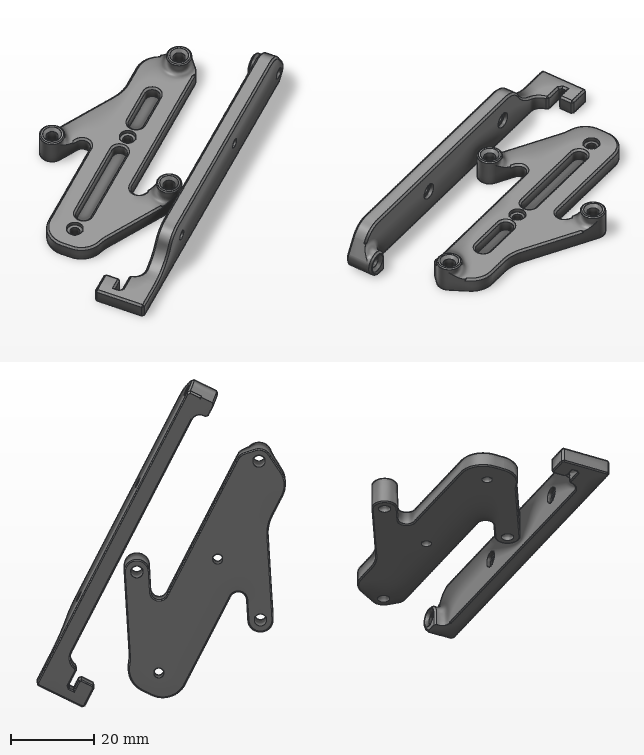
import cadquery as cq
import math


TOTAL_WIDTH = 43.95
TOTAL_LENGTH = 83.5
THICKNESS = 4.0
TOP_CHAMFER = 0.5
BASE_CHAMFER = 0.3
HOLE_PITCH = 31.5
SCREW_DIAMETER = 2.4
RECESS_DIAMETER = 4.0
RECESS_DEPTH = 1.0
LUG_RADIUS = 6.1 / 2
BOSS_RADIUS = LUG_RADIUS - 0.01
BOSS_HEIGHT = 3.0
BOSS_FLARE = 2.0
BOSS_BORE = 2.9
BOSS_SINK_DIAMETER = 4.5
CORNER_RADIUS = 6.0
BLEND_RADIUS = 10.0
COINCIDENT = 8.35e-07

PLATE_HALF_WIDTH = 6.9
PLATE_END = 5.8
LUG_X = 31.8 / 2
LEFT_LUG = (-LUG_X, 22.6)
RIGHT_LUG = (LUG_X, 20.0)
TOP_BOSS = (2.0, 57.6)
LUG_TILT = 60
SHOULDER_TILT = 45
SHOULDER_RADIUS = 3.0
NOTCH_RADIUS = 2.0
FLANK_TILT = -16.6
LOWER_CORNER = (6.1, -PLATE_END)
PLATE_RIM_CHAMFER = 0.3

SLOT_WIDTH = 3.85
SLOT_DEPTH = 3.0
SLOT_CHAMFER = 0.5
SLOT_SPANS = [(3.3, 28.4), (34.6, 47.95)]

BRACKET_BACK = TOTAL_WIDTH - LUG_X - LUG_RADIUS
WALL_FACE = BRACKET_BACK - THICKNESS
FOOT_X = WALL_FACE - BOSS_HEIGHT
BRACKET_HEIGHT = 12.0
BRACKET_END = 15.8
BRACKET_BOSS = (TOTAL_LENGTH - BRACKET_END - LUG_RADIUS, 3.5)
BRACKET_HOLE_START = 6.9
BRACKET_HOLE_Z = 6.0
LEAD_TILT = 30
UNDERCUT_TILT = -45
SLOPE_TILT = 150
SLOPE_CORNER = (1.75, BRACKET_HEIGHT)
FOOT_Y = -7.85
FOOT_FILLET = BOSS_HEIGHT
HOOK_X = 12.2
HOOK_Y = -9.85
HOOK_SLOT_X = 16.3
HOOK_SLOT_Y = -13.0


def edge_line(normal_angle, point, offset=0.0):
    """Straight edge that faces normal_angle and passes the point at the given offset."""
    nx = math.cos(math.radians(normal_angle))
    ny = math.sin(math.radians(normal_angle))
    return nx, ny, nx * point[0] + ny * point[1] + offset


def crossing(first, second):
    """Point where two edge lines cross."""
    det = first[0] * second[1] - first[1] * second[0]
    x = (first[2] * second[1] - first[1] * second[2]) / det
    y = (first[0] * second[2] - first[2] * second[0]) / det
    return x, y


def step(point, target, length):
    """Point at the given length from point, on the way to target."""
    share = length / math.dist(point, target)
    return point[0] + share * (target[0] - point[0]), point[1] + share * (target[1] - point[1])


def rounded_outline(plane, edges):
    """Closed wire from (edge line, radius of the corner to the next edge) pairs."""
    count = len(edges)
    corners = [crossing(edges[i][0], edges[(i + 1) % count][0]) for i in range(count)]
    spans = []
    for i in range(count):
        line, radius = edges[i]
        following = edges[(i + 1) % count][0]
        corner = corners[i]
        before = corners[i - 1]
        after = corners[(i + 1) % count]
        half_turn = math.acos(line[0] * following[0] + line[1] * following[1]) / 2
        setback = radius * math.tan(half_turn)
        start = step(corner, before, setback)
        end = step(corner, after, setback)
        chord_middle = ((start[0] + end[0]) / 2, (start[1] + end[1]) / 2)
        sagitta = radius * (1 - math.cos(half_turn))
        spans.append((start, step(chord_middle, corner, sagitta) if radius else None, end))

    wire = cq.Workplane(plane).moveTo(*spans[-1][2])
    position = spans[-1][2]
    for start, middle, end in spans:
        if math.dist(position, start) > COINCIDENT:
            wire = wire.lineTo(*start)
        if middle:
            wire = wire.threePointArc(middle, end)
        position = end
    return wire.close()


def boss_section(plane, root):
    """Half section of a flared boss: radius across, height up, sunk below its face by root."""
    arc_middle = BOSS_FLARE * (1 - math.sqrt(0.5))
    return (
        cq.Workplane(plane)
        .moveTo(0, -root)
        .lineTo(BOSS_RADIUS + BOSS_FLARE, -root)
        .lineTo(BOSS_RADIUS + BOSS_FLARE, 0)
        .threePointArc((BOSS_RADIUS + arc_middle, arc_middle), (BOSS_RADIUS, BOSS_FLARE))
        .lineTo(BOSS_RADIUS, BOSS_HEIGHT)
        .lineTo(0, BOSS_HEIGHT)
        .close()
    )


def countersunk_hole(top):
    """Cutter for the bore through a boss, from the rim down."""
    depth = THICKNESS + BOSS_HEIGHT
    sink_depth = (BOSS_SINK_DIAMETER - BOSS_BORE) / 2
    bore = cq.Workplane(top).circle(BOSS_BORE / 2).extrude(-depth)
    sink = cq.Workplane(top).circle(BOSS_SINK_DIAMETER / 2).extrude(-sink_depth, taper=45)
    return bore.union(sink)


def recessed_hole(face):
    """Cutter for a screw hole through a wall, with a flat recess on the front face."""
    hole = cq.Workplane(face).circle(SCREW_DIAMETER / 2).extrude(-THICKNESS)
    recess = cq.Workplane(face).circle(RECESS_DIAMETER / 2).extrude(-RECESS_DEPTH)
    return hole.union(recess)


def lug_edges(center, tilt):
    """Near side, end and far side of a lug arm that points along tilt."""
    return [edge_line(tilt + turn, center, LUG_RADIUS) for turn in (-90, 0, 90)]


def plate_outline():
    """Outline of the plate, counter-clockwise from its lower end."""
    right_edges = lug_edges(RIGHT_LUG, LUG_TILT)
    left_edges = lug_edges(LEFT_LUG, LUG_TILT + 180)
    left_side = edge_line(180, (-PLATE_HALF_WIDTH, 0))
    return rounded_outline("XY", [
        (edge_line(-90, LOWER_CORNER), CORNER_RADIUS),
        (edge_line(FLANK_TILT, LOWER_CORNER), BLEND_RADIUS),
        (right_edges[0], LUG_RADIUS),
        (right_edges[1], LUG_RADIUS),
        (right_edges[2], NOTCH_RADIUS),
        (edge_line(0, (PLATE_HALF_WIDTH, 0)), SHOULDER_RADIUS),
        (edge_line(SHOULDER_TILT, TOP_BOSS, LUG_RADIUS), LUG_RADIUS),
        (edge_line(LUG_TILT + 60, TOP_BOSS, LUG_RADIUS), CORNER_RADIUS),
        (left_side, BLEND_RADIUS),
        (left_edges[0], LUG_RADIUS),
        (left_edges[1], LUG_RADIUS),
        (left_edges[2], NOTCH_RADIUS),
        (left_side, CORNER_RADIUS),
    ])


def slot_cutter(low, high):
    """Round-ended blind slot with a chamfered mouth, along the centre line of the plate."""
    opening = cq.Workplane("XY", origin=(0, (low + high) / 2, THICKNESS))
    wide = 2 * SLOT_CHAMFER
    pocket = opening.slot2D(high - low, SLOT_WIDTH, 90).extrude(-SLOT_DEPTH)
    mouth = opening.slot2D(high - low + wide, SLOT_WIDTH + wide, 90).extrude(-SLOT_CHAMFER, taper=45)
    return pocket.union(mouth)


def make_plate():
    """Plate with its bosses, screw holes and slots."""
    bosses = [LEFT_LUG, RIGHT_LUG, TOP_BOSS]
    plate = plate_outline().extrude(THICKNESS)
    plate = plate.faces(">Z").chamfer(TOP_CHAMFER).faces("<Z").chamfer(BASE_CHAMFER)

    flares_limit = plate_outline().extrude(THICKNESS + BOSS_HEIGHT)
    boss = boss_section("XZ", TOP_CHAMFER).revolve(360, (0, 0), (0, 1))
    boss = boss.faces(">Z").chamfer(PLATE_RIM_CHAMFER)
    for x, y in bosses:
        plate = plate.union(boss.translate((x, y, THICKNESS)).intersect(flares_limit))

    for x, y in bosses:
        plate = plate.cut(countersunk_hole(cq.Plane(origin=(x, y, THICKNESS + BOSS_HEIGHT))))
    for i in range(2):
        plate = plate.cut(recessed_hole(cq.Plane(origin=(0, i * HOLE_PITCH, THICKNESS))))
    for low, high in SLOT_SPANS:
        plate = plate.cut(slot_cutter(low, high))
    return plate


def bracket_profile():
    """Side outline of the bracket, in Y and Z."""
    return rounded_outline("YZ", [
        (edge_line(-90, (0, 0)), 0),
        (edge_line(UNDERCUT_TILT, BRACKET_BOSS, LUG_RADIUS), LUG_RADIUS),
        (edge_line(LEAD_TILT, BRACKET_BOSS, LUG_RADIUS), CORNER_RADIUS),
        (edge_line(90, SLOPE_CORNER), CORNER_RADIUS),
        (edge_line(SLOPE_TILT, SLOPE_CORNER), BLEND_RADIUS),
        (edge_line(90, (0, THICKNESS)), 0),
        (edge_line(180, (-BRACKET_END, 0)), 0),
    ])


def bracket_plan():
    """Upright wall with the hooked foot, as tall as the bracket."""
    far_end = BRACKET_BOSS[0] + LUG_RADIUS + CORNER_RADIUS
    return (
        cq.Workplane("XY")
        .moveTo(BRACKET_BACK, -BRACKET_END)
        .lineTo(BRACKET_BACK, far_end)
        .lineTo(WALL_FACE, far_end)
        .lineTo(WALL_FACE, FOOT_Y + FOOT_FILLET)
        .tangentArcPoint((FOOT_X, FOOT_Y), relative=False)
        .lineTo(FOOT_X, HOOK_SLOT_Y)
        .lineTo(HOOK_SLOT_X, HOOK_SLOT_Y)
        .lineTo(HOOK_SLOT_X, HOOK_Y)
        .lineTo(HOOK_X, HOOK_Y)
        .lineTo(HOOK_X, -BRACKET_END)
        .close()
        .extrude(BRACKET_HEIGHT)
    )


def bracket_boss():
    """Flared boss that points to -X, with a straight skirt from its axis down to the underside."""
    y, z = BRACKET_BOSS
    round_part = boss_section("XZ", TOP_CHAMFER).revolve(360, (0, 0), (0, 1))
    half_skirt = boss_section("YZ", TOP_CHAMFER).extrude(-z)
    boss = round_part.union(half_skirt).union(half_skirt.mirror("XZ"))
    return boss.rotate((0, 0, 0), (0, 1, 0), -90).translate((WALL_FACE, y, z))


def make_bracket():
    """Upright bracket with its hooked foot, boss and screw holes."""
    profile_block = bracket_profile().extrude(BRACKET_BACK)
    bracket = bracket_plan().intersect(profile_block)

    hook_uprights = cq.selectors.BoxSelector(
        (HOOK_X, HOOK_SLOT_Y, 0), (FOOT_X, HOOK_Y, THICKNESS), boundingbox=False
    )
    bracket = bracket.edges(cq.selectors.StringSyntaxSelector("not <Z") - hook_uprights).chamfer(TOP_CHAMFER)
    bracket = bracket.edges("<Z").chamfer(BASE_CHAMFER)

    boss = bracket_boss().intersect(profile_block)
    boss = boss.faces("<X").edges("not <Z").chamfer(TOP_CHAMFER)
    bracket = bracket.union(boss)

    boss_axis = cq.Plane(origin=(FOOT_X, *BRACKET_BOSS), xDir=(0, 1, 0), normal=(-1, 0, 0))
    bracket = bracket.cut(countersunk_hole(boss_axis))
    for i in range(2):
        center = (WALL_FACE, BRACKET_HOLE_START + i * HOLE_PITCH, BRACKET_HOLE_Z)
        bracket = bracket.cut(recessed_hole(cq.Plane(origin=center, xDir=(0, 1, 0), normal=(-1, 0, 0))))
    return bracket


plate = make_plate()
bracket = make_bracket()
result = cq.Compound.makeCompound([plate.val(), bracket.val()])